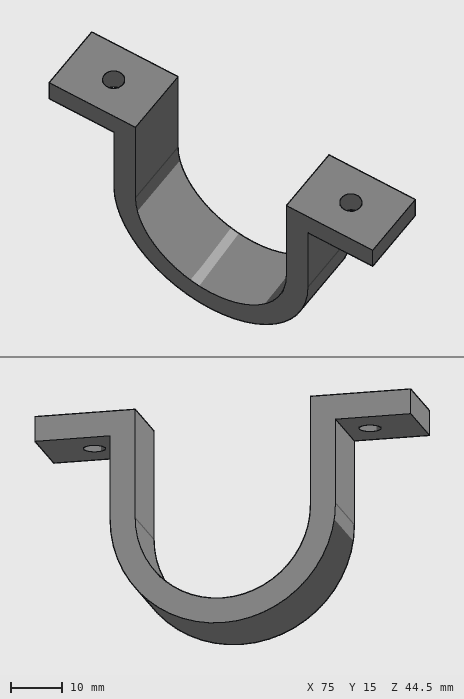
import cadquery as cq

overall_length = 75.0
strap_width = 15.0
thickness = 5.0
outer_radius = 22.5
leg_height = 22.0
hole_diameter = 4.3

half_length = overall_length / 2
inner_radius = outer_radius - thickness
flange_underside = leg_height - thickness
hole_offset = (inner_radius + half_length) / 2

strap = (
    cq.Workplane("XZ")
    .moveTo(-half_length, leg_height)
    .lineTo(-inner_radius, leg_height)
    .lineTo(-inner_radius, 0)
    .threePointArc((0, -inner_radius), (inner_radius, 0))
    .lineTo(inner_radius, leg_height)
    .lineTo(half_length, leg_height)
    .lineTo(half_length, flange_underside)
    .lineTo(outer_radius, flange_underside)
    .lineTo(outer_radius, 0)
    .threePointArc((0, -outer_radius), (-outer_radius, 0))
    .lineTo(-outer_radius, flange_underside)
    .lineTo(-half_length, flange_underside)
    .close()
    .extrude(strap_width / 2, both=True)
)

screw_holes = (
    cq.Workplane("XY")
    .workplane(offset=flange_underside)
    .pushPoints([(-hole_offset, 0), (hole_offset, 0)])
    .circle(hole_diameter / 2)
    .extrude(thickness)
)

result = strap.cut(screw_holes)